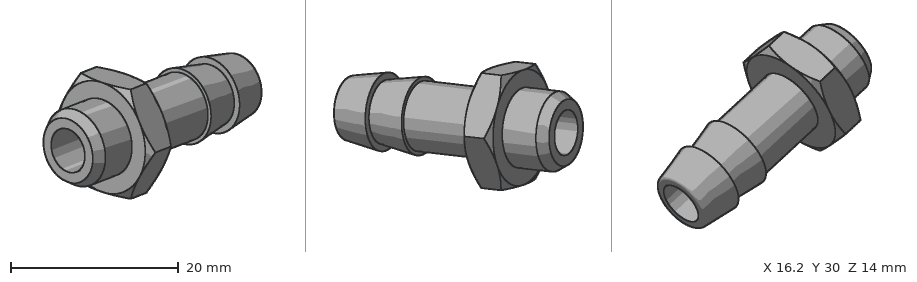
import cadquery as cq
import math

total_length = 30.0
thread_length = 6.0
hex_thickness = 4.0
barb_length = 5.0
barb_count = 2

thread_diameter = 9.7
thread_chamfer_length = 1.35
thread_chamfer_depth = 0.8
hex_across_flats = 14.0
hex_chamfer_angle = 30.0
stem_diameter = 8.5
barb_large_diameter = 9.5
barb_small_diameter = 7.77
tip_fillet_radius = 0.45
bore_diameter = 5.5

hex_end = thread_length + hex_thickness
barbs_start = total_length - barb_count * barb_length
hex_across_corners = hex_across_flats / math.cos(math.radians(30))


def revolve_about_y(profile):
    """Revolve a closed (radius, y) outline around the Y axis."""
    outline = cq.Workplane("XY").polyline(profile).close()
    return outline.revolve(360, (0, 0, 0), (0, 1, 0))


def cylinder(diameter, start, end):
    radius = diameter / 2
    return revolve_about_y([(0, start), (radius, start), (radius, end), (0, end)])


def threaded_end():
    radius = thread_diameter / 2
    return revolve_about_y([
        (0, 0),
        (radius - thread_chamfer_depth, 0),
        (radius, thread_chamfer_length),
        (radius, thread_length),
        (0, thread_length),
    ])


def hexagon():
    """Hexagon with corners on X, its corners turned conical at both faces."""
    prism = (
        cq.Workplane("XZ", origin=(0, hex_end, 0))
        .polygon(6, hex_across_corners)
        .extrude(hex_thickness)
    )
    face_radius = hex_across_flats / 2
    corner_radius = hex_across_corners / 2
    chamfer_length = (corner_radius - face_radius) * math.tan(math.radians(hex_chamfer_angle))
    turned_envelope = revolve_about_y([
        (0, thread_length),
        (face_radius, thread_length),
        (corner_radius, thread_length + chamfer_length),
        (corner_radius, hex_end - chamfer_length),
        (face_radius, hex_end),
        (0, hex_end),
    ])
    return prism.intersect(turned_envelope)


def barb(start):
    """Cone tapering toward the hose tip."""
    end = start + barb_length
    return revolve_about_y([
        (0, start),
        (barb_large_diameter / 2, start),
        (barb_small_diameter / 2, end),
        (0, end),
    ])


body = threaded_end().union(hexagon()).union(cylinder(stem_diameter, hex_end, barbs_start))
for index in range(barb_count):
    body = body.union(barb(barbs_start + index * barb_length))
body = body.faces(">Y").edges().fillet(tip_fillet_radius)
result = body.cut(cylinder(bore_diameter, 0, total_length))